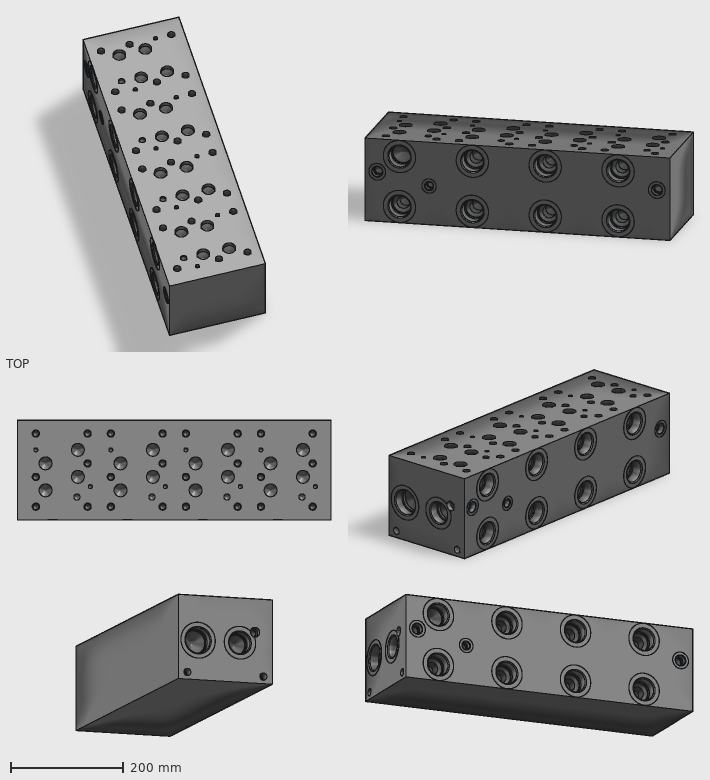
import cadquery as cq
import math

LENGTH = 559.0
WIDTH = 177.5
HEIGHT = 152.5
POINT_ANGLE = 118.0

STATION_COUNT = 4
STATION_PITCH = 133.5
FIRST_BOLT_X = 33.0

BOLT_SPAN_X = 92.0
BOLT_SPAN_Y = 130.0
MIDDLE_BOLT_INSET = 53.0
PORT_INSET = 17.5
PIN_OVERHANG = 4.8
PIN_INSET_REAR = 29.0
PIN_INSET_FRONT = 36.0
PILOT_INSET_X = 19.0
PILOT_INSET_Y = 17.5

VALVE_PORT_DIAMETER = 23.0
VALVE_PORT_DEPTH = 8.5
PILOT_DIAMETER = 11.0
PILOT_DEPTH = 4.0
PIN_DIAMETER = 7.0
PIN_DEPTH = 8.0
BOLT_THREAD_DIAMETER = 13.0
BOLT_CORE_DIAMETER = 10.5
BOLT_THREAD_DEPTH = 22.5
BOLT_CORE_DEPTH = 28.0

WORK_PORT = (43.0, 39.0, 36.0)
TANK_PORT = (50.0, 46.0, 42.5)
DRAIN_PORT = (20.5, 19.0, 15.5)
GAUGE_PORT = (17.0, 14.5, 13.0)
WORK_SPOT_FACE = 59.0
TANK_SPOT_FACE = 65.0
DRAIN_SPOT_FACE = 31.0
GAUGE_SPOT_FACE = 26.0
SPOT_FACE_DEPTH = 0.5
WORK_THREAD_DEPTH = 20.0
MAIN_THREAD_DEPTH = 18.0
SMALL_THREAD_DEPTH = 11.0
LARGE_CORE_DEPTH = 25.0
SMALL_CORE_DEPTH = 17.0

WORK_PORT_X = 63.0
WORK_PORT_EDGE = 30.0
WORK_PASSAGE_DIAMETER = 23.0
WORK_PASSAGE_DEPTH = 50.5

DRAIN_XS = (22.5, 535.0)
DRAIN_Z = 91.5
GAUGE_X = 117.5
GAUGE_Z = 71.5

MAIN_PORT_Z = 71.5
TANK_Y = 140.0
PRESSURE_Y = 61.5
PLUG_Y = 33.0
PLUG_Z = 92.0
PLUG_THREAD_DIAMETER = 17.5
PLUG_CORE_DIAMETER = 13.0
END_BOLT_EDGE_Y = 17.5
END_BOLT_Z = 13.0


def point_height(diameter):
    """Height of the conical bottom of a drilled hole."""
    return diameter / 2 / math.tan(math.radians(POINT_ANGLE / 2))


def drilled(diameter, depth):
    """Radius and depth profile of a blind drilled hole."""
    radius = diameter / 2
    return [(radius, 0), (radius, depth), (0, depth + point_height(diameter))]


def stepped(thread_diameter, thread_depth, core_diameter, core_depth):
    """Profile of a thread bore with a 45 degree step down to the drilled core."""
    thread_radius = thread_diameter / 2
    core_radius = core_diameter / 2
    step = [(thread_radius, thread_depth), (core_radius, thread_depth + thread_radius - core_radius)]
    return [(thread_radius, 0)] + step + drilled(core_diameter, core_depth)[1:]


def bolt_hole():
    return stepped(BOLT_THREAD_DIAMETER, BOLT_THREAD_DEPTH, BOLT_CORE_DIAMETER, BOLT_CORE_DEPTH)


def threaded_port(diameters, thread_depth, core_depth):
    """Profile of a stepped port with a 45 degree chamfer at its mouth."""
    mouth, thread, core = diameters
    chamfer = (mouth - thread) / 2
    hole = stepped(thread, thread_depth, core, core_depth)
    return [(mouth / 2, 0), (thread / 2, chamfer)] + hole[1:]


def spot_faced(diameter, port):
    """Port profile sunk below a shallow spot face."""
    radius = diameter / 2
    sunk_port = [(port_radius, depth + SPOT_FACE_DEPTH) for port_radius, depth in port]
    return [(radius, 0), (radius, SPOT_FACE_DEPTH)] + sunk_port


def bore(origin, x_direction, normal, profile):
    """Solid of revolution whose axis runs from the origin into the block."""
    plane = cq.Plane(origin=origin, xDir=x_direction, normal=normal)
    outline = cq.Workplane(plane).polyline([(0, 0)] + profile).close()
    return outline.revolve(360, (0, 0), (0, 1)).val()


def from_top(x, y, profile):
    return bore((x, y, HEIGHT), (1, 0, 0), (0, 1, 0), profile)


def from_front(x, z, profile):
    return bore((x, 0, z), (1, 0, 0), (0, 0, 1), profile)


def from_left(y, z, profile):
    return bore((0, y, z), (0, 1, 0), (0, 0, -1), profile)


def valve_station(left):
    """Hole pattern of one valve, whose left bolt column is at X = left."""
    right = left + BOLT_SPAN_X
    front = (WIDTH - BOLT_SPAN_Y) / 2
    rear = front + BOLT_SPAN_Y
    middle_front = front + MIDDLE_BOLT_INSET
    middle_rear = rear - MIDDLE_BOLT_INSET
    pin_rear = rear - PIN_INSET_REAR

    bolts = [(x, y) for x in (left, right) for y in (front, rear)]
    bolts += [(left, middle_front), (right, middle_rear)]
    ports = [(left + PORT_INSET, y) for y in (front + PIN_INSET_REAR, middle_rear)]
    ports += [(right - PORT_INSET, y) for y in (middle_front, pin_rear)]
    pins = [(left, pin_rear), (right + PIN_OVERHANG, front + PIN_INSET_FRONT)]

    bolt = bolt_hole()
    cuts = [from_top(x, y, bolt) for x, y in bolts]
    cuts += [from_top(x, y, drilled(VALVE_PORT_DIAMETER, VALVE_PORT_DEPTH)) for x, y in ports]
    cuts += [from_top(x, y, drilled(PIN_DIAMETER, PIN_DEPTH)) for x, y in pins]
    pilot = drilled(PILOT_DIAMETER, PILOT_DEPTH)
    cuts.append(from_top(right - PILOT_INSET_X, front + PILOT_INSET_Y, pilot))
    return cuts


def work_ports(station):
    """Upper and lower work port of one station; the first upper one has no inner passage."""
    x = WORK_PORT_X + station * STATION_PITCH
    upper = HEIGHT - WORK_PORT_EDGE
    lower = WORK_PORT_EDGE
    passage = drilled(WORK_PASSAGE_DIAMETER, WORK_PASSAGE_DEPTH)
    port = spot_faced(WORK_SPOT_FACE, threaded_port(WORK_PORT, WORK_THREAD_DEPTH, LARGE_CORE_DEPTH))
    cuts = [from_front(x, z, port) for z in (upper, lower)]
    passage_levels = (lower,) if station == 0 else (upper, lower)
    return cuts + [from_front(x, z, passage) for z in passage_levels]


def auxiliary_front_ports():
    drain = threaded_port(DRAIN_PORT, SMALL_THREAD_DEPTH, SMALL_CORE_DEPTH)
    gauge = threaded_port(GAUGE_PORT, SMALL_THREAD_DEPTH, SMALL_CORE_DEPTH)
    cuts = [from_front(x, DRAIN_Z, spot_faced(DRAIN_SPOT_FACE, drain)) for x in DRAIN_XS]
    return cuts + [from_front(GAUGE_X, GAUGE_Z, spot_faced(GAUGE_SPOT_FACE, gauge))]


def left_end_holes():
    end_bolt = bolt_hole()
    tank = threaded_port(TANK_PORT, MAIN_THREAD_DEPTH, LARGE_CORE_DEPTH)
    pressure = threaded_port(WORK_PORT, MAIN_THREAD_DEPTH, LARGE_CORE_DEPTH)
    plug = stepped(PLUG_THREAD_DIAMETER, SMALL_THREAD_DEPTH, PLUG_CORE_DIAMETER, SMALL_CORE_DEPTH)
    cuts = [from_left(y, END_BOLT_Z, end_bolt) for y in (END_BOLT_EDGE_Y, WIDTH - END_BOLT_EDGE_Y)]
    cuts.append(from_left(TANK_Y, MAIN_PORT_Z, spot_faced(TANK_SPOT_FACE, tank)))
    cuts.append(from_left(PRESSURE_Y, MAIN_PORT_Z, spot_faced(WORK_SPOT_FACE, pressure)))
    cuts.append(from_left(PLUG_Y, PLUG_Z, plug))
    return cuts


holes = auxiliary_front_ports() + left_end_holes()
for station in range(STATION_COUNT):
    holes += valve_station(FIRST_BOLT_X + station * STATION_PITCH)
    holes += work_ports(station)

block = cq.Workplane("XY").box(LENGTH, WIDTH, HEIGHT, centered=False)
result = cq.Workplane(block.val().cut(*holes).Solids()[0])